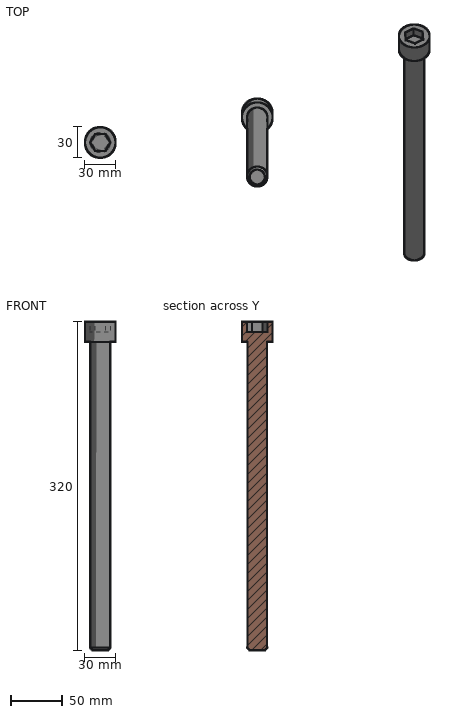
import cadquery as cq
import math

total_length = 320.0
head_diameter = 30.0
head_height = 20.0
shank_diameter = 20.0
tip_chamfer = 2.5
socket_across_flats = 17.0
socket_depth = head_height / 2

head_bottom = total_length - head_height
socket_across_corners = socket_across_flats / math.cos(math.pi / 6)

shank = (
    cq.Workplane("XY")
    .circle(shank_diameter / 2)
    .extrude(head_bottom)
    .faces("<Z")
    .chamfer(tip_chamfer)
)

head = (
    cq.Workplane("XY")
    .workplane(offset=head_bottom)
    .circle(head_diameter / 2)
    .extrude(head_height)
)

socket = (
    cq.Workplane("XY")
    .workplane(offset=total_length - socket_depth)
    .polygon(6, socket_across_corners)
    .extrude(socket_depth)
)

result = shank.union(head).cut(socket)